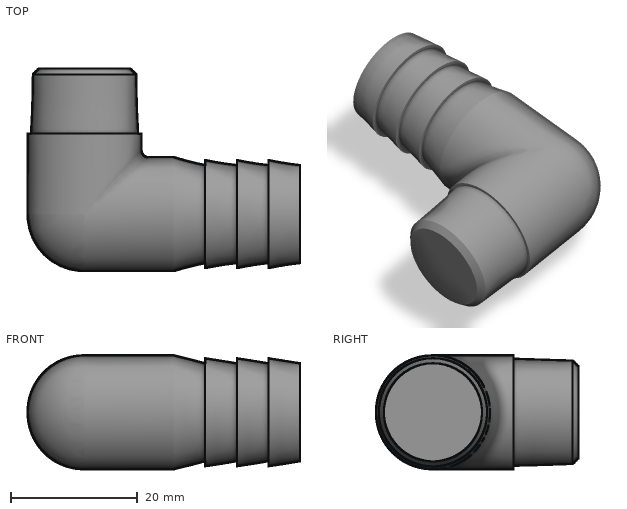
import cadquery as cq

overall_x = 43.0
overall_y = 32.0
body_diameter = 18.0
inner_corner_fillet = 1.0

barb_count = 3
barb_pitch = 5.0
barb_crest_diameter = 17.05
barb_root_diameter = 15.5

spigot_length = 10.28
spigot_base_diameter = 16.95
spigot_tip_diameter = 16.35
tip_chamfer_length = 0.95
tip_face_diameter = 14.4

body_radius = body_diameter / 2
tail_end = overall_x - body_radius
spigot_end = overall_y - body_radius
tail_start = tail_end - (barb_count + 1) * barb_pitch
spigot_start = spigot_end - spigot_length


def cone_along(direction, start, length, start_diameter, end_diameter):
    """Truncated cone on a line through the origin."""
    return cq.Workplane(
        cq.Solid.makeCone(start_diameter / 2, end_diameter / 2, length, direction * start, direction)
    )


def make_body():
    """Two equal cylinders meeting in a ball, with the inside seam rounded."""
    x_leg = cq.Workplane("YZ").circle(body_radius).extrude(tail_start)
    y_leg = cq.Workplane("XZ").circle(body_radius).extrude(-spigot_start)
    legs = x_leg.union(y_leg)
    legs = legs.edges("%ELLIPSE").fillet(inner_corner_fillet)
    return legs.union(cq.Workplane("XY").sphere(body_radius))


def make_hose_tail():
    """Neck down from the body, then barbs that taper toward the open end."""
    along_x = cq.Vector(1, 0, 0)
    tail = cone_along(along_x, tail_start, barb_pitch, body_diameter, barb_root_diameter)
    for index in range(barb_count):
        barb_start = tail_start + (index + 1) * barb_pitch
        barb = cone_along(along_x, barb_start, barb_pitch, barb_crest_diameter, barb_root_diameter)
        tail = tail.union(barb)
    return tail


def make_spigot():
    """Slightly tapered spigot with a chamfered tip."""
    along_y = cq.Vector(0, 1, 0)
    taper_length = spigot_length - tip_chamfer_length
    taper = cone_along(along_y, spigot_start, taper_length, spigot_base_diameter, spigot_tip_diameter)
    chamfer_start = spigot_end - tip_chamfer_length
    tip = cone_along(along_y, chamfer_start, tip_chamfer_length, spigot_tip_diameter, tip_face_diameter)
    return taper.union(tip)


result = make_body().union(make_hose_tail()).union(make_spigot())